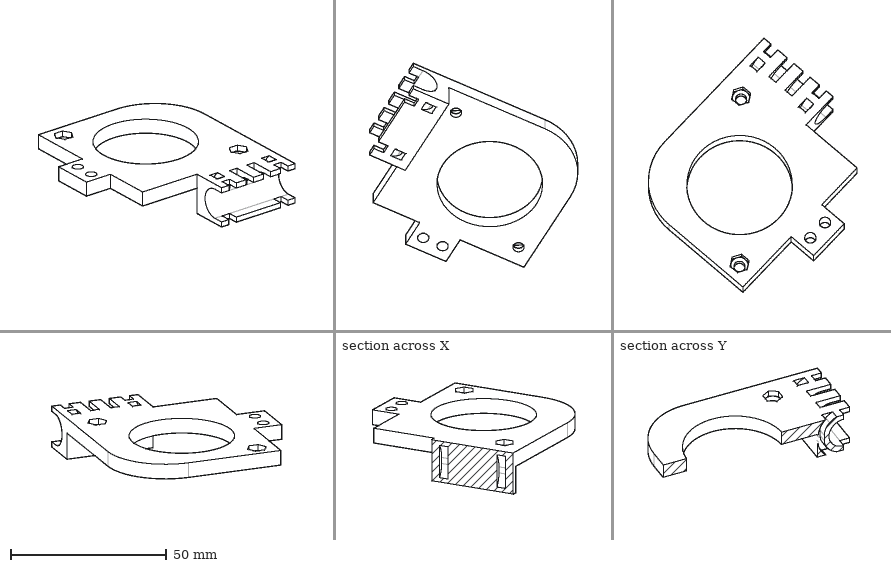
import cadquery as cq
import math

plate_length = 55.0
plate_width = 52.1
plate_thickness = 5.0
corner_radius = 20.0
opening_diameter = 34.0
opening_center = (25.3, 24.2)

tab_left = 23.25
tab_length = 14.75
tab_depth = 9.7
tab_hole_spacing = 7.1
tab_hole_edge_distance = 4.8

screw_diameter = 3.6
nut_across_corners = 6.4
nut_across_flats = nut_across_corners * math.cos(math.radians(30))
nut_depth = 2.0
seat_cone_height = 1.0
nut_centers = [(5.3, 6.25), (48.3, 44.3)]

clip_length = 13.0
clip_height = 14.0
bore_radius = 5.2
prong_length = 3.55
clip_right = plate_length + clip_length
bore_x = clip_right - prong_length
bore_z = plate_thickness - clip_height / 2

slot_width = 3.0
clip_margin = 3.0
rib_width = 4.0
slot_count = 4
clip_width = 2 * clip_margin + slot_count * slot_width + (slot_count - 1) * rib_width
clip_near_y = plate_width - clip_width

channel_thickness = 2.05
shoulder_radius = 5.9
crown_radius = 9.0
shoulder_offset_x = 1.1
shoulder_offset_z = 1.0
shoulder_end_angle = math.radians(42)


def make_box(x_range, y_range, z_range):
    """Box spanning the given coordinate ranges."""
    sizes = [end - start for start, end in (x_range, y_range, z_range)]
    corner = (x_range[0], y_range[0], z_range[0])
    return cq.Workplane("XY").box(*sizes, centered=False).translate(corner)


def make_y_cylinder(radius, near_y, length):
    """Cylinder along +Y on the axis of the clip bore."""
    plane = cq.Workplane("XZ", origin=(bore_x, near_y, bore_z))
    return plane.circle(radius).extrude(-length)


def make_channel_core(offset, near_y):
    """Solid left of the bore axis, bounded by the channel's inner curve grown by an offset."""
    shoulder = shoulder_radius + offset
    crown = crown_radius + offset
    sine = math.sin(shoulder_end_angle)
    cosine = math.cos(shoulder_end_angle)
    radius_change = crown_radius - shoulder_radius
    crown_x = radius_change * sine - shoulder_offset_x
    crown_z = shoulder_offset_z - radius_change * cosine

    def shoulder_point(angle):
        return (
            -shoulder_offset_x - shoulder * math.sin(angle),
            shoulder_offset_z + shoulder * math.cos(angle),
        )

    def crown_point(angle):
        return (crown_x - crown * math.sin(angle), crown_z + crown * math.cos(angle))

    def mirrored(point):
        return (point[0], -point[1])

    top_angle = math.asin(crown_x / crown)
    top = crown_point(top_angle)
    crown_middle = crown_point((top_angle + shoulder_end_angle) / 2)
    joint = shoulder_point(shoulder_end_angle)
    shoulder_middle = shoulder_point((shoulder_end_angle + math.pi / 2) / 2)
    back = shoulder_point(math.pi / 2)
    return (
        cq.Workplane("XZ", origin=(bore_x, near_y, bore_z))
        .moveTo(*top)
        .threePointArc(crown_middle, joint)
        .threePointArc(shoulder_middle, back)
        .lineTo(*mirrored(back))
        .threePointArc(mirrored(shoulder_middle), mirrored(joint))
        .threePointArc(mirrored(crown_middle), mirrored(top))
        .close()
        .extrude(-slot_width)
    )


def make_plate():
    """Plate with one rounded corner, the screw tab and the large opening."""
    plate = make_box((0, plate_length), (0, plate_width), (0, plate_thickness))
    plate = plate.edges("|Z and <X and >Y").fillet(corner_radius)
    tab = make_box((tab_left, tab_left + tab_length), (-tab_depth, 0), (0, plate_thickness))
    opening = cq.Workplane("XY").center(*opening_center).circle(opening_diameter / 2)
    tab_center = tab_left + tab_length / 2
    tab_holes = (
        cq.Workplane("XY")
        .center(tab_center, -tab_hole_edge_distance)
        .rarray(tab_hole_spacing, 0.7, 2, 1)
        .circle(screw_diameter / 2)
    )
    return (
        plate.union(tab)
        .cut(opening.extrude(plate_thickness))
        .cut(tab_holes.extrude(plate_thickness))
    )


def make_nut_seat(center):
    """Hexagonal pocket with corners on +Y and -Y, with a conical floor around the screw hole."""
    seat_height = plate_thickness - nut_depth
    pocket = (
        cq.Workplane("XY", origin=(*center, seat_height))
        .transformed(rotate=(0, 0, 90))
        .polygon(6, nut_across_corners)
        .extrude(nut_depth)
    )
    cone = (
        cq.Workplane("XY", origin=(*center, seat_height - seat_cone_height))
        .circle(screw_diameter / 2)
        .workplane(offset=seat_cone_height)
        .circle(nut_across_flats / 2)
        .loft()
    )
    screw_hole = cq.Workplane("XY", origin=(*center, 0)).circle(screw_diameter / 2).extrude(seat_height)
    return pocket.union(cone).union(screw_hole)


def make_clip_slot(index):
    """Cut for one slot: tie channel and end notch at both ends, open top in between."""
    near_y = clip_near_y + clip_margin + index * (slot_width + rib_width)
    y_range = (near_y, near_y + slot_width)
    if index in (0, slot_count - 1):
        channel = make_channel_core(channel_thickness, near_y).cut(make_channel_core(0, near_y))
        notch = make_box((bore_x, clip_right), y_range, (plate_thickness - clip_height, plate_thickness))
        return channel.union(notch)
    return make_box((bore_x - bore_radius, clip_right), y_range, (bore_z, plate_thickness))


def make_clip():
    """Block with a tube bore open to +X and the slots across it."""
    y_range = (clip_near_y, plate_width)
    clip = make_box((plate_length, clip_right), y_range, (plate_thickness - clip_height, plate_thickness))
    clip = clip.cut(make_y_cylinder(bore_radius, clip_near_y, clip_width))
    mouth = make_box((bore_x, clip_right), y_range, (bore_z - bore_radius, bore_z + bore_radius))
    clip = clip.cut(mouth)
    for index in range(slot_count):
        clip = clip.cut(make_clip_slot(index))
    return clip


result = make_plate().union(make_clip())
for nut_center in nut_centers:
    result = result.cut(make_nut_seat(nut_center))